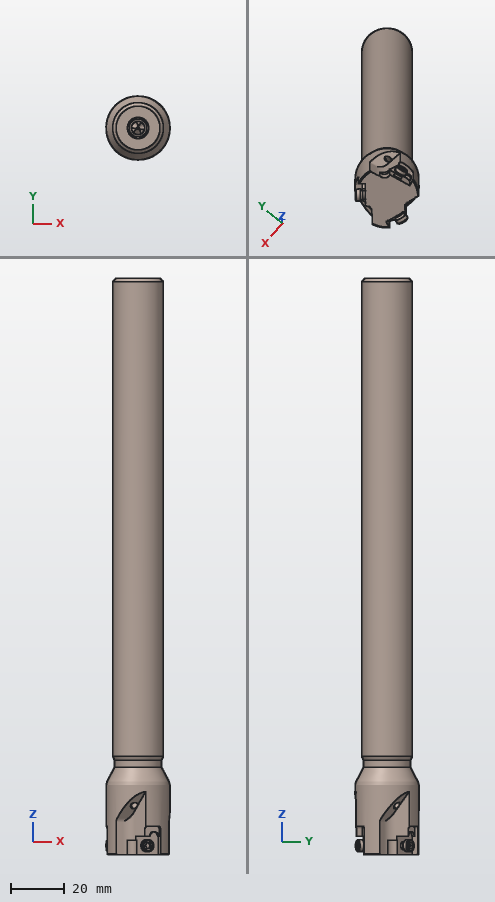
import cadquery as cq


OVERALL_LENGTH = 214.7
STATION_COUNT = 3
FIRST_STATION_ANGLE = -71

HEAD_RADIUS = 11.92
SHANK_RADIUS = 9.5
NECK_RADIUS = 8.8
CONE_RADIUS = 11.5
HEAD_TOP_Z = 26.0
CONE_BASE_Z = 27.3
CONE_TOP_Z = 32.6
NECK_TOP_Z = 35.2
SHANK_BASE_Z = 36.7
SHANK_END_RADIUS = 8.2
SHANK_END_CHAMFER_HEIGHT = 1.3
HEAD_END_CHAMFER = 0.5

SOCKET_DIAMETER = 6.7
SOCKET_DEPTH = 10.7
COUNTERSINK_DIAMETER = 8.0
COUNTERSINK_DEPTH = 2.0
BORE_DIAMETER = 5.0
BORE_BOTTOM_Z = 25.8
COOLANT_DIAMETER = 2.5
COOLANT_START_Z = 28
COOLANT_OUTLET = cq.Vector(9.0, -4.7, 18.0)

SEAT_RADIUS = 8.05
SEAT_TOP_Z = 6.9
SEAT_BACK = 5.2
SEAT_FRONT = -6.5
CLEARANCE_RADIUS = 9.2
CLEARANCE_TOP_Z = 10.7
CLEARANCE_FRONT = -1.3
CLEARANCE_CORNER = 1.0
CORNER_RELIEF_DIAMETER = 3.5
CORNER_RELIEF_OFFSET = 3.2

FLUTE_FLOOR_RADIUS = 5.5
FLUTE_FLOOR_END = -7.7
FLUTE_WALL_START = cq.Vector(8.0, -3.75)
FLUTE_WALL_END = cq.Vector(11.5, -1.3)
FLUTE_TOP_Z = 12.9
FLUTE_RUNOUT_SLOPE = 1.7
FLUTE_RUNOUT_FILLET = 2.5
CUT_REACH = 17.2

GASH_DIAMETER = 4.5
GASH_CENTER = cq.Vector(8.0, -5.5)
GASH_TOP_Z = 5.4

SCREW_Z = 3.5
SCREW_INNER_RADIUS = 4.7
SCREW_OUTER_RADIUS = 11.8
SCREW_SHANK_DIAMETER = 3.0
SCREW_HEAD_DIAMETER = 4.5
SCREW_HEAD_HEIGHT = 2.0
SCREW_TAPER_HEIGHT = 0.9
SCREW_CHAMFER = 0.5
SCREW_SOCKET_DIAMETER = 2.4
SCREW_SOCKET_DEPTH = 1.3

station_angles = [FIRST_STATION_ANGLE + i * 360 / STATION_COUNT for i in range(STATION_COUNT)]


def at_station(shape, angle):
    """Rotate a shape from angle 0 to a cutting station."""
    return shape.rotate((0, 0, 0), (0, 0, 1), angle)


def holder_blank():
    """Revolved shank, neck, cone and cutting head."""
    return (
        cq.Workplane("XZ")
        .lineTo(HEAD_RADIUS - HEAD_END_CHAMFER, 0)
        .lineTo(HEAD_RADIUS, HEAD_END_CHAMFER)
        .lineTo(HEAD_RADIUS, HEAD_TOP_Z)
        .lineTo(CONE_RADIUS, CONE_BASE_Z)
        .lineTo(NECK_RADIUS, CONE_TOP_Z)
        .lineTo(NECK_RADIUS, NECK_TOP_Z)
        .lineTo(SHANK_RADIUS, SHANK_BASE_Z)
        .lineTo(SHANK_RADIUS, OVERALL_LENGTH - SHANK_END_CHAMFER_HEIGHT)
        .lineTo(SHANK_END_RADIUS, OVERALL_LENGTH)
        .lineTo(0, OVERALL_LENGTH)
        .close()
        .revolve(360, (0, 0), (0, 1))
    )


def central_bore():
    """Long coolant bore with a wider, countersunk socket at the shank end."""
    bore = (
        cq.Workplane("XY", origin=(0, 0, BORE_BOTTOM_Z))
        .circle(BORE_DIAMETER / 2)
        .extrude(OVERALL_LENGTH - BORE_BOTTOM_Z)
    )
    socket = (
        cq.Workplane("XY", origin=(0, 0, OVERALL_LENGTH - SOCKET_DEPTH))
        .circle(SOCKET_DIAMETER / 2)
        .extrude(SOCKET_DEPTH)
    )
    countersink = (
        cq.Workplane("XY", origin=(0, 0, OVERALL_LENGTH - COUNTERSINK_DEPTH))
        .circle(SOCKET_DIAMETER / 2)
        .workplane(offset=COUNTERSINK_DEPTH)
        .circle(COUNTERSINK_DIAMETER / 2)
        .loft()
    )
    return bore.union(socket).union(countersink)


def coolant_branch():
    """Inclined hole from the central bore out through the flute run-out."""
    start = cq.Vector(0, 0, COOLANT_START_Z)
    direction = COOLANT_OUTLET - start
    return cq.Workplane(cq.Solid.makeCylinder(COOLANT_DIAMETER / 2, direction.Length, start, direction))


def block(radius, front, back, bottom, top):
    """Box that removes everything outside a flat at the given radius."""
    return cq.Workplane("XY").box(CUT_REACH, back - front, top - bottom, centered=False).translate(
        (radius, front, bottom)
    )


def insert_seat():
    """Seat and clearance, with a round relief at the seat's upper back corner."""
    seat = block(SEAT_RADIUS, SEAT_FRONT, SEAT_BACK, 0, SEAT_TOP_Z)
    clearance = block(CLEARANCE_RADIUS, CLEARANCE_FRONT, SEAT_BACK, 0, CLEARANCE_TOP_Z)
    clearance = clearance.edges("|X and >Z").fillet(CLEARANCE_CORNER)
    corner_relief = (
        cq.Workplane("YZ", origin=(SEAT_RADIUS, CORNER_RELIEF_OFFSET, SEAT_TOP_Z))
        .circle(CORNER_RELIEF_DIAMETER / 2)
        .extrude(CUT_REACH)
    )
    return seat.union(clearance).union(corner_relief)


def chip_flute():
    """Gutter along Z, closed at its top by a run-out that slopes outward."""
    wall = (FLUTE_WALL_END - FLUTE_WALL_START).normalized()
    wall_outer = FLUTE_WALL_END + wall * CUT_REACH
    gutter = (
        cq.Workplane("XY")
        .moveTo(FLUTE_FLOOR_RADIUS, -CUT_REACH)
        .lineTo(FLUTE_FLOOR_RADIUS, FLUTE_FLOOR_END)
        .tangentArcPoint((FLUTE_WALL_START.x, FLUTE_WALL_START.y), relative=False)
        .lineTo(wall_outer.x, wall_outer.y)
        .lineTo(wall_outer.x, -CUT_REACH)
        .close()
        .extrude(OVERALL_LENGTH)
    )
    outer_radius = FLUTE_FLOOR_RADIUS + CUT_REACH
    run_out = (
        cq.Workplane("XZ")
        .moveTo(FLUTE_FLOOR_RADIUS, 0)
        .lineTo(outer_radius, 0)
        .lineTo(outer_radius, FLUTE_TOP_Z + FLUTE_RUNOUT_SLOPE * CUT_REACH)
        .lineTo(FLUTE_FLOOR_RADIUS, FLUTE_TOP_Z)
        .close()
        .extrude(CUT_REACH, both=True)
        .edges("|Y")
        .edges("<X")
        .edges(">Z")
        .fillet(FLUTE_RUNOUT_FILLET)
    )
    return gutter.intersect(run_out)


def wall_gash():
    """Cylindrical cut along Z that steepens the flute wall near the tip."""
    return (
        cq.Workplane("XY")
        .center(GASH_CENTER.x, GASH_CENTER.y)
        .circle(GASH_DIAMETER / 2)
        .extrude(GASH_TOP_Z)
    )


def screw_shank():
    """Radial shank, also the shape of its hole in the holder."""
    return (
        cq.Workplane("YZ", origin=(SCREW_INNER_RADIUS, 0, SCREW_Z))
        .circle(SCREW_SHANK_DIAMETER / 2)
        .extrude(SCREW_OUTER_RADIUS - SCREW_INNER_RADIUS)
    )


def clamping_screw():
    """Radial screw with a tapered head and a hexagon socket."""
    head_base = SCREW_OUTER_RADIUS - SCREW_HEAD_HEIGHT
    taper = (
        cq.Workplane("YZ", origin=(head_base - SCREW_TAPER_HEIGHT, 0, SCREW_Z))
        .circle(SCREW_SHANK_DIAMETER / 2)
        .workplane(offset=SCREW_TAPER_HEIGHT)
        .circle(SCREW_HEAD_DIAMETER / 2)
        .loft()
    )
    head = (
        cq.Workplane("YZ", origin=(head_base, 0, SCREW_Z))
        .circle(SCREW_HEAD_DIAMETER / 2)
        .extrude(SCREW_HEAD_HEIGHT)
        .faces(">X")
        .chamfer(SCREW_CHAMFER)
    )
    socket = (
        cq.Workplane("YZ", origin=(SCREW_OUTER_RADIUS - SCREW_SOCKET_DEPTH, 0, SCREW_Z))
        .polygon(6, SCREW_SOCKET_DIAMETER)
        .extrude(SCREW_SOCKET_DEPTH)
    )
    return screw_shank().union(taper).union(head).cut(socket)


holder = holder_blank().cut(central_bore())
station_cuts = [chip_flute(), wall_gash(), insert_seat(), coolant_branch(), screw_shank()]
for angle in station_angles:
    for station_cut in station_cuts:
        holder = holder.cut(at_station(station_cut, angle))

screws = [at_station(clamping_screw(), angle) for angle in station_angles]

result = cq.Compound.makeCompound([holder.val(), *[screw.val() for screw in screws]])